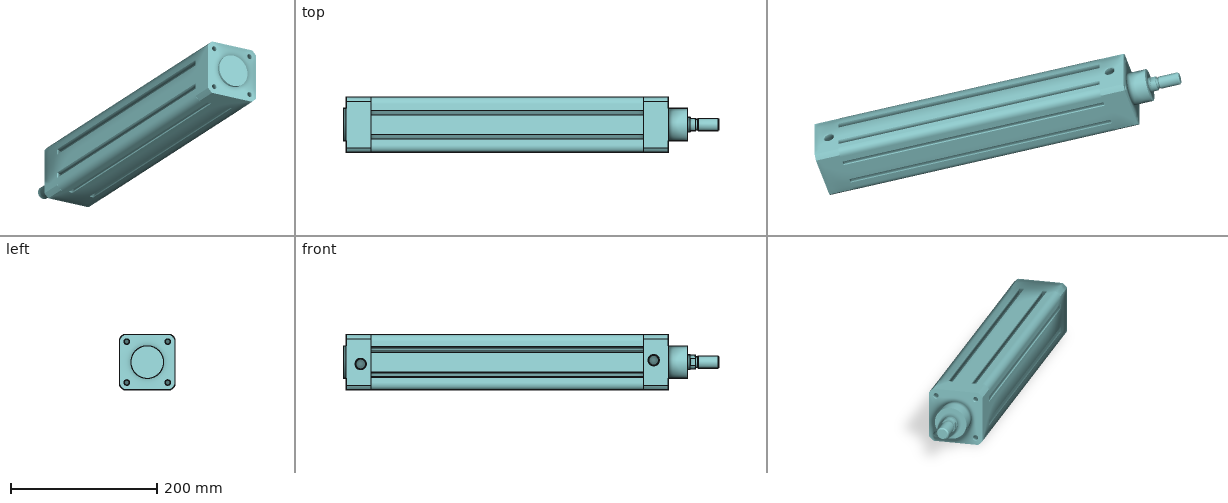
import cadquery as cq

total_length = 514.0
width = 76.0

rear_cap_start = 3.5
cap_length = 34.0
front_cap_end = 444.5
boss_end = 471.0
shaft_end = 474.0
flats_start = 475.0
shank_end = 481.5
thread_start = 484.0

cap_corner_diameter = 99.0
boss_diameter = 44.5
port_diameter = 13.5
port_depth = 15.5
port_inset = 20.0
port_offset = 2.5
screw_hole_diameter = 6.5
screw_hole_depth = 15.5
screw_spacing = 56.0
port_countersink = 1.0
screw_countersink = 0.5

barrel_corner_radius = 9.0
groove_inner_edge = 13.5
side_groove_width = 7.5
side_groove_floor = 4.5
side_groove_depth = 5.0
slot_mouth = 6.0
slot_lip = 2.0
slot_undercut = 1.5
slot_depth = 8.0

shaft_diameter = 20.5
shank_diameter = 19.5
across_flats = 17.0
neck_diameter = 15.0
thread_diameter = 17.0
thread_chamfer = 1.5

rear_cap_end = rear_cap_start + cap_length
front_cap_start = front_cap_end - cap_length
barrel_length = front_cap_start - rear_cap_end


def square_bar(x_start, x_end):
    """Square bar on the cylinder axis between two X stations."""
    return cq.Workplane("YZ", origin=(x_start, 0, 0)).rect(width, width).extrude(x_end - x_start)


def round_bar(x_start, x_end, diameter):
    """Round bar on the cylinder axis between two X stations."""
    return cq.Workplane("YZ", origin=(x_start, 0, 0)).circle(diameter / 2).extrude(x_end - x_start)


def countersunk_hole(mouth, direction, diameter, depth, countersink):
    """Cutter for a blind hole with a 45 degree countersink at its mouth."""
    radius = diameter / 2
    hole = cq.Solid.makeCylinder(radius, depth, mouth, direction)
    return hole.fuse(cq.Solid.makeCone(radius + countersink, radius, countersink, mouth, direction))


def make_cap(outer_face, inward, boss_face, port_height):
    """End cap; inward is +1 or -1, the X direction from the outer face to the barrel."""
    inner_face = outer_face + inward * cap_length
    start, end = sorted((outer_face, inner_face))
    cap = square_bar(start, end).intersect(round_bar(start, end, cap_corner_diameter))
    boss_start, boss_stop = sorted((outer_face, boss_face))
    cap = cap.union(round_bar(boss_start, boss_stop, boss_diameter))

    half_spacing = screw_spacing / 2
    for y in (-half_spacing, half_spacing):
        for z in (-half_spacing, half_spacing):
            mouth = cq.Vector(outer_face, y, z)
            cap = cap.cut(
                countersunk_hole(
                    mouth, cq.Vector(inward, 0, 0), screw_hole_diameter, screw_hole_depth, screw_countersink
                )
            )

    mouth = cq.Vector(outer_face + inward * port_inset, -width / 2, port_height)
    return cap.cut(countersunk_hole(mouth, cq.Vector(0, 1, 0), port_diameter, port_depth, port_countersink))


def side_groove_profile():
    """Trapezoid narrowing from the rim to a flat floor; (distance across the face, height above it)."""
    rim = side_groove_width / 2
    floor = side_groove_floor / 2
    return [(-rim, 0), (-floor, -side_groove_depth), (floor, -side_groove_depth), (rim, 0)]


def slot_profile():
    """T-slot with a narrow mouth between two lips; (distance across the face, height above it)."""
    mouth = slot_mouth / 2
    inside = mouth + slot_undercut
    return [
        (-mouth, 0),
        (-mouth, -slot_lip),
        (-inside, -slot_lip),
        (-inside, -slot_depth),
        (inside, -slot_depth),
        (inside, -slot_lip),
        (mouth, -slot_lip),
        (mouth, 0),
    ]


def cut_grooves(barrel, profile, mouth_width, first_turn):
    """Cut two parallel grooves along each of a pair of opposite faces."""
    offset = groove_inner_edge + mouth_width / 2
    for turn in (first_turn, first_turn + 180):
        for side in (-1, 1):
            groove = (
                cq.Workplane("YZ", origin=(rear_cap_end, side * offset, width / 2))
                .polyline(profile)
                .close()
                .extrude(barrel_length)
                .rotate((0, 0, 0), (1, 0, 0), turn)
            )
            barrel = barrel.cut(groove)
    return barrel


def make_barrel():
    """Extruded barrel with T-slots in the +Z and -Z faces and tapered grooves in the +Y and -Y faces."""
    barrel = square_bar(rear_cap_end, front_cap_start).edges("|X").fillet(barrel_corner_radius)
    barrel = cut_grooves(barrel, slot_profile(), slot_mouth, 0)
    return cut_grooves(barrel, side_groove_profile(), side_groove_width, 90)


def make_rod():
    """Piston rod: round shaft, shank with two wrench flats, neck and threaded end."""
    shaft = round_bar(front_cap_start, shaft_end, shaft_diameter)
    shank = round_bar(shaft_end, shank_end, shank_diameter)
    flats_length = shank_end - flats_start
    flat_depth = (shank_diameter - across_flats) / 2
    for side in (-1, 1):
        flat = cq.Workplane("XY").box(flats_length, flat_depth, shank_diameter)
        flat = flat.translate((flats_start + flats_length / 2, side * (across_flats + flat_depth) / 2, 0))
        shank = shank.cut(flat)
    neck = round_bar(shank_end, thread_start, neck_diameter)
    thread = round_bar(thread_start, total_length, thread_diameter).faces("<X or >X").chamfer(thread_chamfer)
    return shaft.union(shank).union(neck).union(thread)


rear_cap = make_cap(rear_cap_start, 1, 0.0, -port_offset)
barrel = make_barrel()
rod = make_rod()

front_cap = make_cap(front_cap_end, -1, boss_end, port_offset)
front_cap = front_cap.cut(round_bar(front_cap_start, boss_end, shaft_diameter))

result = cq.Compound.makeCompound([rear_cap.val(), barrel.val(), front_cap.val(), rod.val()])